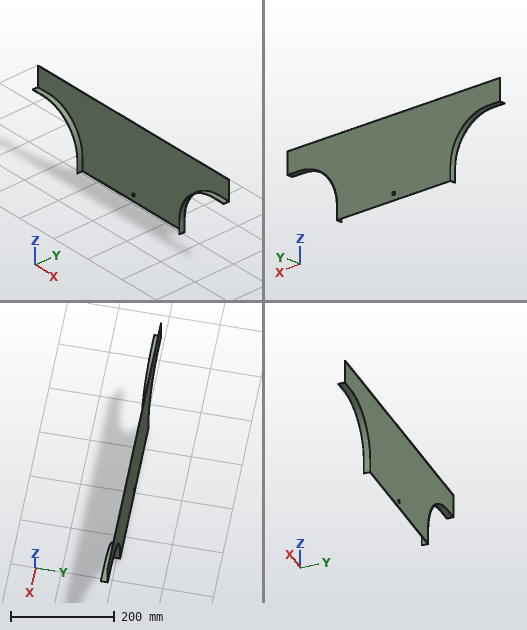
import cadquery as cq
import math

length = 560.0
height = 180.0
depth = 14.0
sheet = 1.0

stem_width = 300.0
bend_radius = 99.0
arm_height = 50.0
hole_diameter = 7.0
hole_height = 15.0

half_length = length / 2
half_stem = stem_width / 2
arm_bottom = height - arm_height
arc_start_x = half_stem + bend_radius
arc_start_z = arm_bottom - bend_radius


def corner_region(offset):
    """Solid filling the right inner corner of the T, its edge set back from the T by offset."""
    edge_x = half_stem + offset
    edge_z = arm_bottom - offset
    radius = bend_radius - offset
    diagonal = radius * math.sqrt(0.5)
    return (
        cq.Workplane("XZ")
        .moveTo(edge_x, 0)
        .lineTo(edge_x, arc_start_z)
        .threePointArc(
            (arc_start_x - diagonal, arc_start_z + diagonal),
            (arc_start_x, edge_z),
        )
        .lineTo(half_length, edge_z)
        .lineTo(half_length, 0)
        .close()
        .extrude(depth)
    )


plate = cq.Workplane("XY").box(length, sheet, height, centered=(True, False, False))
plate = plate.translate((0, -sheet, 0))

corner = corner_region(0)
flange = corner_region(-sheet).cut(corner)

result = plate
for cut_body, strip in (
    (corner, flange),
    (corner.mirror("YZ"), flange.mirror("YZ")),
):
    result = result.cut(cut_body).union(strip)

hole = (
    cq.Workplane("XZ")
    .center(0, hole_height)
    .circle(hole_diameter / 2)
    .extrude(depth)
)
result = result.cut(hole)